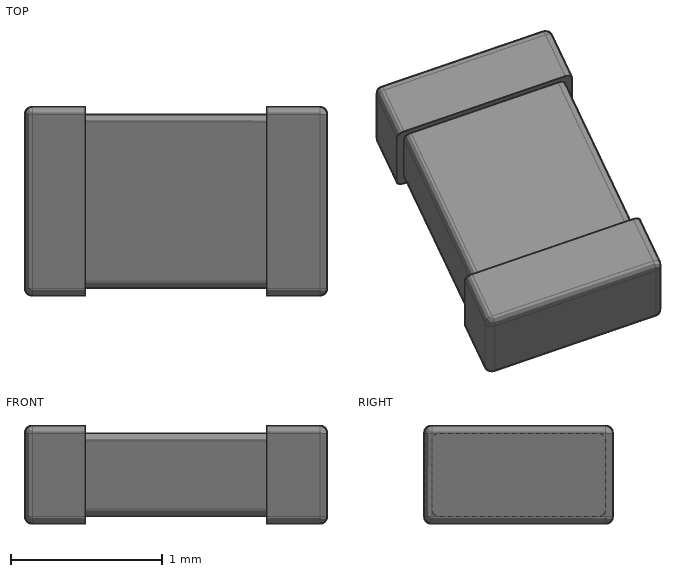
import cadquery as cq

length = 2.0
width = 1.25
height = 0.65

cap_length = 0.4
cap_step = 0.05
edge_radius = 0.05

body_length = length - 2 * cap_length
mid_height = height / 2


def make_body():
    """Block between the caps, with its four lengthwise edges rounded."""
    block = cq.Workplane("XY").box(body_length, width - 2 * cap_step, height - 2 * cap_step)
    return block.edges("|X").fillet(edge_radius).translate((0, 0, mid_height))


def make_end_cap(side):
    """Cap on the -X (side = -1) or +X (side = 1) end; its inner rim stays sharp."""
    inner_face = "<X" if side > 0 else ">X"
    cap = cq.Workplane("XY").box(cap_length, width, height)
    cap = cap.edges(f"not({inner_face})").fillet(edge_radius)
    return cap.translate((side * (length - cap_length) / 2, 0, mid_height))


body = make_body()
end_caps = [make_end_cap(side) for side in (-1, 1)]

result = cq.Compound.makeCompound([body.val(), *[cap.val() for cap in end_caps]])